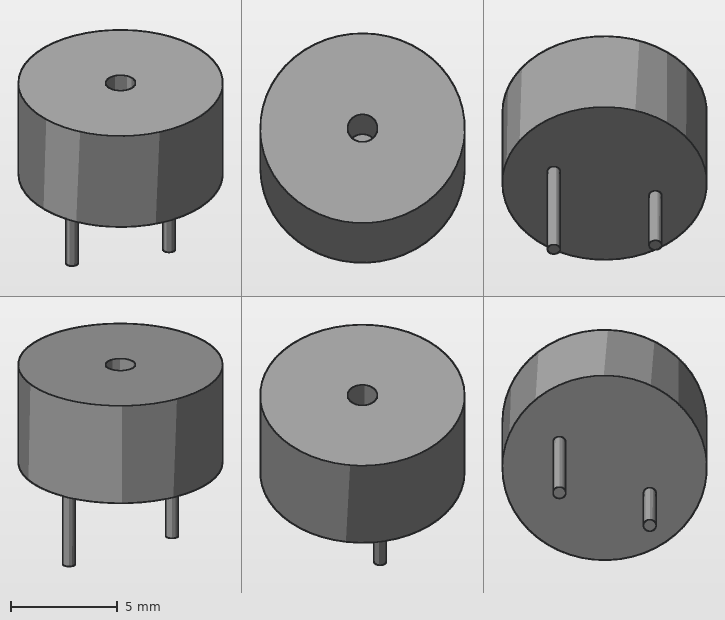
import cadquery as cq

body_diameter = 9.6
overall_height = 10.5
long_pin_length = 5.5
body_height = overall_height - long_pin_length

sound_hole_diameter = 1.4
sound_hole_depth = body_height / 2

pin_diameter = 0.6
pin_pitch = 5.0
short_pin_length = 3.5


def make_body():
    """Cylinder with a blind central hole in its top face."""
    body = cq.Workplane("XY").circle(body_diameter / 2).extrude(body_height)
    return body.faces(">Z").workplane().hole(sound_hole_diameter, sound_hole_depth)


def make_pin(x, length):
    """Round pin hanging down from the underside of the body."""
    return cq.Workplane("XY").center(x, 0).circle(pin_diameter / 2).extrude(-length)


long_pin = make_pin(-pin_pitch / 2, long_pin_length)
short_pin = make_pin(pin_pitch / 2, short_pin_length)
result = make_body().union(long_pin).union(short_pin)